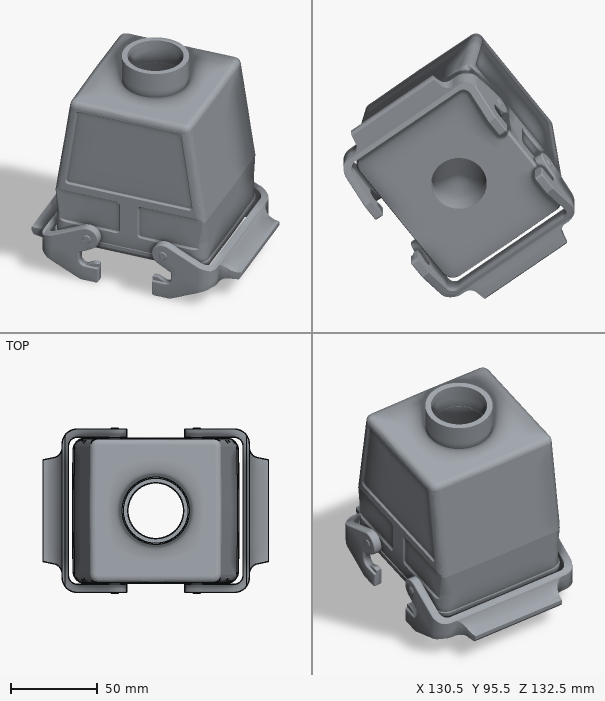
import cadquery as cq
import math

foot_z = 20.1
rim_edge_z = 22.4
rim_top_z = 24.8
hood_start_z = 20.8
skirt_round_z = 37.5
shoulder_z = 52.6
roof_z = 116.2
skirt_half_x = 46.9
roof_half_x = 37.4
half_y = 41.5
ridge_rise = 0.4
skirt_radius = 7.5
upper_radius = 4.5
roof_fillet = 3.3
rim_x_overhang = 0.9
rim_y_overhang = 0.7
rim_taper = 0.9

panel_depth = 1.2
panel_radius = 2.4
wall_slant = 0.9
label_top_z = 111.3
label_bottom_z = 59.8
label_top_half_x = 32.7
label_bottom_half_x = 40.1
side_panel_top_z = 55.0
side_panel_bottom_z = 33.3
side_panel_inner_x = 5.4

collar_top_z = 132.5
collar_diameter = 39.0
bush_diameter = 37.5
bush_bore = 32.5
bush_seat_z = 117.1
passage_diameter = 32.0

pivot_x = 23.7
pivot_z = 28.9
pin_diameter = 5.0
pin_end_y = 47.77
pin_chamfer = 0.5
boss_diameter = 7.0

arm_inner_y = 42.4
arm_outer_y = 47.3
frame_outer_x = 54.2
frame_inner_x = 50.4
frame_outer_radius = 8.9
frame_inner_radius = 4.9
frame_top_z = 23.0
frame_bottom_z = 11.8
frame_bottom_x = 52.9
eye_radius = 7.0
eye_upper_slope = 25.4
eye_lower_slope = 29.0
hook_tip_x = 16.7
hook_heel_x = 28.0
hook_corner = 1.6
throat_x = 28.8
throat_radius = 4.0
throat_floor_z = 9.8
nib_top_z = 12.2
nib_flat_start_x = 19.9
nib_outer_y = 45.7
arm_edge_round = 0.7
handle_tip_x = 65.25
handle_lip_z = 16.5
handle_lip_corner_z = 13.8
handle_lip_bottom_x = 64.1
handle_curve_x = 62.5
handle_curve_point = (57.4, 18.75)
handle_half_y = 29.4
handle_bend_x = 57.8
handle_bend_half_y = 31.0
handle_neck_x = 55.4
handle_neck_half_y = 32.9
handle_root_half_y = 35.9


def outline(half_x, half_width, radius, z):
    """Closed plan outline with rounded corners and a faint ridge in the middle of both ends."""
    corners = [
        (half_x, -half_width),
        (half_x + ridge_rise, 0),
        (half_x, half_width),
        (-half_x, half_width),
        (-half_x - ridge_rise, 0),
        (-half_x, -half_width),
    ]
    wire = cq.Wire.makePolygon([cq.Vector(x, y, z) for x, y in corners], close=True)
    sharp = [vertex for vertex in wire.Vertices() if abs(vertex.Y) > half_width / 2]
    return wire.fillet2D(radius, sharp)


def make_shell():
    """Outer form of the hood with its rim."""
    hood = cq.Workplane(cq.Solid.makeLoft([
        outline(skirt_half_x, half_y, skirt_radius, hood_start_z),
        outline(skirt_half_x, half_y, skirt_radius, skirt_round_z),
        outline(skirt_half_x, half_y, upper_radius, shoulder_z),
        outline(roof_half_x, half_y, upper_radius, roof_z),
    ], True))
    hood = hood.faces(">Z").edges().fillet(roof_fillet)
    rim_x = skirt_half_x + rim_x_overhang
    rim_y = half_y + rim_y_overhang
    rim = cq.Workplane(cq.Solid.makeLoft([
        outline(rim_x - rim_taper, rim_y - rim_taper, skirt_radius, foot_z),
        outline(rim_x, rim_y, skirt_radius, rim_edge_z),
        outline(rim_x, rim_y, skirt_radius, rim_top_z),
    ], True))
    return hood.union(rim)


def panel_tool(points):
    """Tool that cuts a panel with rounded corners and slanted walls into the -Y long side."""
    slant = math.degrees(math.atan(wall_slant / panel_depth))
    sketch = cq.Sketch().polygon(points + points[:1]).vertices().fillet(panel_radius)
    return (
        cq.Workplane("XZ", origin=(0, -half_y, 0))
        .placeSketch(sketch)
        .extrude(-panel_depth, taper=slant)
    )


def make_panels():
    """Label panel and two open-ended side panels for both long sides."""
    label = panel_tool([
        (-label_bottom_half_x, label_bottom_z),
        (label_bottom_half_x, label_bottom_z),
        (label_top_half_x, label_top_z),
        (-label_top_half_x, label_top_z),
    ])
    open_end_x = skirt_half_x + 2 * skirt_radius
    side = panel_tool([
        (side_panel_inner_x, side_panel_bottom_z),
        (open_end_x, side_panel_bottom_z),
        (open_end_x, side_panel_top_z),
        (side_panel_inner_x, side_panel_top_z),
    ])
    front = label.add(side).add(side.mirror("YZ")).combine()
    return front.add(front.mirror("XZ")).combine()


def make_pin(x, side):
    """Pivot pin with a chamfered end and a spacer boss, standing on the long side at `side` (+1 or -1)."""
    boss = cq.Workplane("XZ").circle(boss_diameter / 2).extrude(-arm_inner_y)
    pin = cq.Workplane("XZ").circle(pin_diameter / 2).extrude(-pin_end_y)
    pin = pin.faces(">Y").chamfer(pin_chamfer)
    both = boss.union(pin).cut(cq.Workplane("XZ").circle(boss_diameter).extrude(-half_y + panel_depth))
    if side < 0:
        both = both.mirror("XZ")
    return both.translate((x, 0, pivot_z))


def make_housing():
    """Hood with panels, pivot pins, the collar on its roof and the cable passage right through."""
    housing = make_shell().cut(make_panels())
    for x in (-pivot_x, pivot_x):
        for side in (-1, 1):
            housing = housing.union(make_pin(x, side))
    collar_height = collar_top_z - roof_z
    collar = cq.Workplane("XY", origin=(0, 0, roof_z)).circle(collar_diameter / 2).extrude(collar_height)
    passage_height = collar_top_z - foot_z
    passage = cq.Workplane("XY", origin=(0, 0, foot_z)).circle(passage_diameter / 2).extrude(passage_height)
    seat_depth = collar_top_z - bush_seat_z
    seat = cq.Workplane("XY", origin=(0, 0, bush_seat_z)).circle(bush_diameter / 2).extrude(seat_depth)
    return housing.union(collar).cut(passage).cut(seat)


def make_bush():
    """Bush that lines the collar, flush with its mouth."""
    ring = cq.Workplane("XY", origin=(0, 0, bush_seat_z)).circle(bush_diameter / 2).circle(bush_bore / 2)
    return ring.extrude(collar_top_z - bush_seat_z)


def make_arm_profile():
    """Side outline of a lever with rounded outer edges, as wide as the whole lever."""
    upper = math.radians(eye_upper_slope)
    lower = math.radians(eye_lower_slope)
    upper_x = pivot_x + eye_radius * math.sin(upper)
    upper_z = pivot_z + eye_radius * math.cos(upper)
    lower_x = pivot_x - eye_radius * math.sin(lower)
    lower_z = pivot_z - eye_radius * math.cos(lower)
    frame_top_x = upper_x + (upper_z - frame_top_z) / math.tan(upper)
    throat_top_z = lower_z - (throat_x - lower_x) * math.tan(lower)
    profile = (
        cq.Workplane("XZ", origin=(0, arm_outer_y, 0))
        .moveTo(upper_x, upper_z)
        .lineTo(frame_top_x, frame_top_z)
        .lineTo(frame_outer_x, frame_top_z)
        .lineTo(frame_outer_x, frame_bottom_z)
        .lineTo(frame_bottom_x, frame_bottom_z)
        .lineTo(hook_heel_x, 0)
        .lineTo(hook_tip_x + hook_corner, 0)
        .tangentArcPoint((hook_tip_x, hook_corner), relative=False)
        .lineTo(hook_tip_x, throat_floor_z)
        .lineTo(throat_x - throat_radius, throat_floor_z)
        .tangentArcPoint((throat_x, throat_floor_z + throat_radius), relative=False)
        .lineTo(throat_x, throat_top_z)
        .lineTo(lower_x, lower_z)
        .threePointArc((pivot_x - eye_radius, pivot_z), (upper_x, upper_z))
        .close()
        .extrude(2 * arm_outer_y)
    )
    return profile.faces("<Y or >Y").edges().fillet(arm_edge_round)


def make_frame_plan():
    """U-shaped plan of a lever, open towards the middle of the housing."""
    depth = frame_top_z + 2 * eye_radius
    outer = cq.Workplane("XY").rect(2 * frame_outer_x, 2 * arm_outer_y).extrude(depth)
    inner = cq.Workplane("XY").rect(2 * frame_inner_x, 2 * arm_inner_y).extrude(depth)
    outer = outer.edges("|Z").fillet(frame_outer_radius)
    return outer.cut(inner.edges("|Z").fillet(frame_inner_radius))


def make_nib(side):
    """Raised nib on the tip of the hook at `side` (+1 or -1)."""
    nib = (
        cq.Workplane("XZ", origin=(0, nib_outer_y, 0))
        .polyline([
            (hook_tip_x, throat_floor_z / 2),
            (throat_x - throat_radius, throat_floor_z / 2),
            (throat_x - throat_radius, throat_floor_z),
            (nib_flat_start_x, nib_top_z),
            (hook_tip_x, nib_top_z),
        ])
        .close()
        .extrude(nib_outer_y - arm_inner_y)
    )
    return nib if side > 0 else nib.mirror("XZ")


def make_handle():
    """Handle that sweeps down and out from the frame, narrower at its tip than at its root."""
    section = (
        cq.Workplane("XZ", origin=(0, handle_root_half_y, 0))
        .moveTo(frame_inner_x, frame_bottom_z)
        .lineTo(handle_lip_bottom_x, frame_bottom_z)
        .lineTo(handle_tip_x, handle_lip_corner_z)
        .lineTo(handle_tip_x, handle_lip_z)
        .lineTo(handle_curve_x, handle_lip_z)
        .threePointArc(handle_curve_point, (frame_outer_x, frame_top_z))
        .lineTo(frame_inner_x, frame_top_z)
        .close()
        .extrude(2 * handle_root_half_y)
    )
    plan = (
        cq.Workplane("XY")
        .moveTo(frame_inner_x, -handle_root_half_y)
        .lineTo(frame_outer_x, -handle_root_half_y)
        .threePointArc((handle_neck_x, -handle_neck_half_y), (handle_bend_x, -handle_bend_half_y))
        .lineTo(handle_tip_x, -handle_half_y)
        .lineTo(handle_tip_x, handle_half_y)
        .lineTo(handle_bend_x, handle_bend_half_y)
        .threePointArc((handle_neck_x, handle_neck_half_y), (frame_outer_x, handle_root_half_y))
        .lineTo(frame_inner_x, handle_root_half_y)
        .close()
        .extrude(frame_top_z)
    )
    return section.intersect(plan)


def make_lever():
    """Lever of the +X end, with holes that fit the pivot pins."""
    lever = make_arm_profile().intersect(make_frame_plan()).union(make_handle())
    for side in (-1, 1):
        lever = lever.union(make_nib(side))
    holes = (
        cq.Workplane("XZ", origin=(pivot_x, arm_outer_y, pivot_z))
        .circle(pin_diameter / 2)
        .extrude(2 * arm_outer_y)
    )
    return lever.cut(holes)


housing = make_housing()
bush = make_bush()
right_lever = make_lever()
left_lever = right_lever.mirror("YZ")

result = cq.Compound.makeCompound([
    housing.val(),
    bush.val(),
    left_lever.val(),
    right_lever.val(),
])